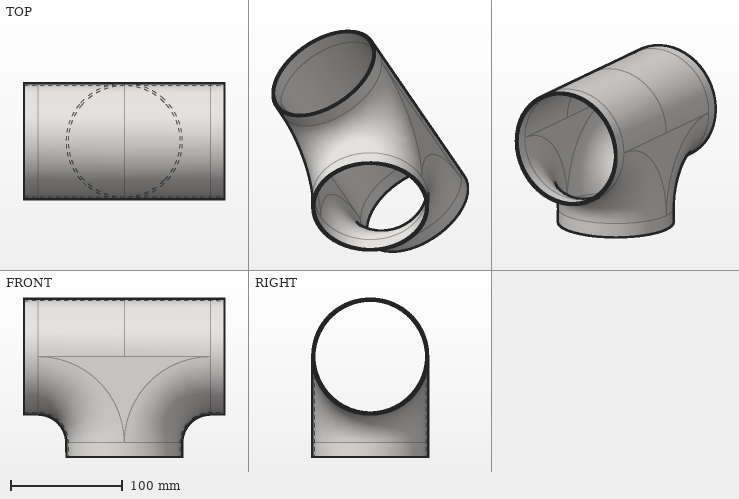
import cadquery as cq

run_length = 180.0
outer_diameter = 104.0
wall = 2.0
straight_end = 13.0

half_run = run_length / 2
branch_length = half_run
outer_radius = outer_diameter / 2
inner_radius = outer_radius - wall
bend_radius = half_run - straight_end


def run_cylinder(radius):
    return cq.Workplane("YZ").circle(radius).extrude(half_run, both=True)


def branch_end(radius):
    return (
        cq.Workplane("XY", origin=(0, 0, -branch_length))
        .circle(radius)
        .extrude(straight_end)
    )


def left_bend(radius):
    """Quarter torus turning from the left run opening into the branch."""
    return (
        cq.Workplane("YZ", origin=(-bend_radius, 0, 0))
        .circle(radius)
        .revolve(90, (0, -bend_radius), (1, -bend_radius))
    )


def web(half_width):
    """Flat-sided block between the centrelines of the two bends."""
    cusp = (0, -bend_radius)
    return (
        cq.Workplane("XZ")
        .moveTo(-bend_radius, 0)
        .lineTo(bend_radius, 0)
        .radiusArc(cusp, -bend_radius)
        .radiusArc((-bend_radius, 0), -bend_radius)
        .close()
        .extrude(half_width, both=True)
    )


def tee_body(radius):
    """Solid tee of one pipe radius, used for both the outside and the bore."""
    bend = left_bend(radius)
    return (
        run_cylinder(radius)
        .union(web(radius))
        .union(bend)
        .union(bend.mirror("YZ"))
        .union(branch_end(radius))
    )


result = tee_body(outer_radius).cut(tee_body(inner_radius))